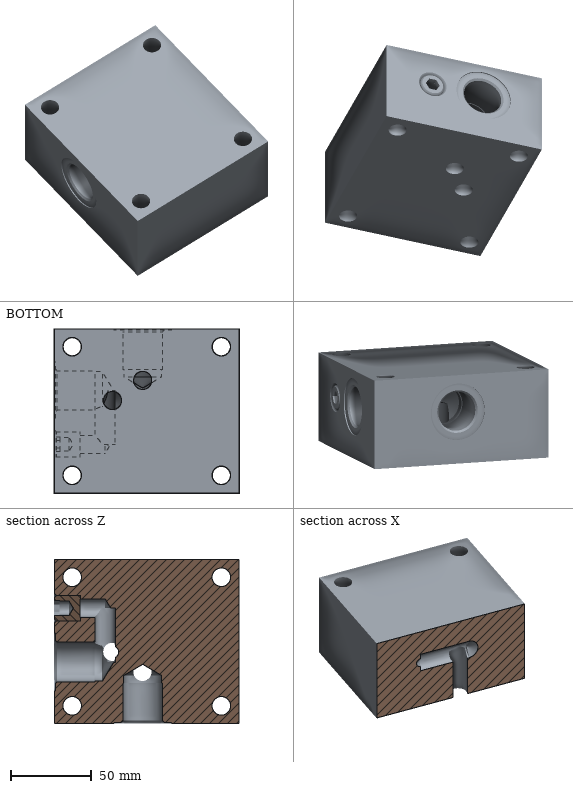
import cadquery as cq
import math

BLOCK_X = 114.3
BLOCK_Y = 101.6
BLOCK_Z = 55.5
LEFT_FACE = -BLOCK_X / 2
FRONT_FACE = -BLOCK_Y / 2
BOTTOM_FACE = -BLOCK_Z / 2

MOUNT_DIA = 11.2
MOUNT_EDGE_DISTANCE = 11.1

AXIS_Z = 4.8
FRONT_PORT_X = -2.5
LEFT_PORT_Y = -12.7
SPOTFACE_DIA = 35.4
SPOTFACE_DEPTH = 0.7
PORT_MOUTH_DIA = 26.6
PORT_THREAD_DIA = 24.3
PORT_THREAD_DEPTH = 25.1
PORT_DRILL_DIA = 23.2
PORT_DRILL_DEPTH = 29.7
DRILL_TIP_ANGLE = 118.0

RISER_DIA = 11.2
RISER_TOP_Z = AXIS_Z - 1.1
FRONT_RISER_Y = FRONT_FACE + PORT_DRILL_DEPTH + 2.2
LEFT_RISER_X = LEFT_FACE + PORT_DRILL_DEPTH + 6.3
LEFT_RISER_Y = LEFT_PORT_Y + 6.2

CROSS_DIA = 12.3
CROSS_OVERRUN = 0.1
CROSS_X = LEFT_FACE + PORT_DRILL_DEPTH + 1.7

PLUG_Y = 20.6
PLUG_DIA = 15.5
PLUG_PASSAGE_DIA = 11.2
PLUG_LENGTH = 16.0
PLUG_CHAMFER = 1.0
PLUG_MOUTH_DIA = 18.1
SOCKET_FLATS = 7.8
SOCKET_DEPTH = 3.4
SOCKET_DRILL_DIA = 8.5
SOCKET_DRILL_DEPTH = 5.7


def tip_height(diameter):
    """Height of the conical end that a drill of this diameter leaves."""
    return diameter / 2 / math.tan(math.radians(DRILL_TIP_ANGLE / 2))


def drilled_hole(diameter, depth):
    """Cutter along +Z from the origin: a cylinder with a drill point beyond its depth."""
    radius = diameter / 2
    return (
        cq.Workplane("XZ")
        .lineTo(radius, 0)
        .lineTo(radius, depth)
        .lineTo(0, depth + tip_height(diameter))
        .close()
        .revolve(360, (0, 0), (0, 1))
    )


def countersink(mouth_dia, bore_dia, mouth_depth):
    """45 degree cone along +Z that narrows from the mouth to the bore."""
    depth = (mouth_dia - bore_dia) / 2
    cone = cq.Solid.makeCone(mouth_dia / 2, bore_dia / 2, depth, cq.Vector(0, 0, mouth_depth))
    return cq.Workplane(cone)


def cylinder(diameter, length):
    return cq.Workplane("XY").circle(diameter / 2).extrude(length)


def port():
    """Cutter for one port, running along +Z from the face at the origin."""
    return (
        drilled_hole(PORT_DRILL_DIA, PORT_DRILL_DEPTH)
        .union(cylinder(PORT_THREAD_DIA, PORT_THREAD_DEPTH))
        .union(cylinder(SPOTFACE_DIA, SPOTFACE_DEPTH))
        .union(countersink(PORT_MOUTH_DIA, PORT_THREAD_DIA, SPOTFACE_DEPTH))
    )


def along_y(shape):
    """Turn a shape made along +Z to run along +Y."""
    return shape.rotate((0, 0, 0), (1, 0, 0), -90)


def from_front_face(shape, x):
    """Place a shape made along +Z so that it runs along +Y from the front face."""
    return along_y(shape).translate((x, FRONT_FACE, AXIS_Z))


def from_left_face(shape, y):
    """Place a shape made along +Z so that it runs along +X from the left face."""
    return along_y(shape).rotate((0, 0, 0), (0, 0, 1), -90).translate((LEFT_FACE, y, AXIS_Z))


def riser(x, y):
    hole = drilled_hole(RISER_DIA, RISER_TOP_Z - BOTTOM_FACE)
    return hole.translate((x, y, BOTTOM_FACE))


def cross_passage():
    """Passage from just past the left port axis to the plugged passage axis."""
    start_y = LEFT_PORT_Y - CROSS_OVERRUN
    passage = along_y(cylinder(CROSS_DIA, PLUG_Y - start_y))
    return passage.translate((CROSS_X, start_y, AXIS_Z))


def plugged_passage():
    """Countersunk plug hole with a narrower passage that reaches the cross passage."""
    hole = (
        drilled_hole(PLUG_PASSAGE_DIA, CROSS_X - LEFT_FACE)
        .union(cylinder(PLUG_DIA, PLUG_LENGTH))
        .union(countersink(PLUG_MOUTH_DIA, PLUG_DIA, 0))
    )
    return from_left_face(hole, PLUG_Y)


def make_block():
    block = (
        cq.Workplane("XY")
        .box(BLOCK_X, BLOCK_Y, BLOCK_Z)
        .faces(">Z")
        .workplane()
        .rect(BLOCK_X - 2 * MOUNT_EDGE_DISTANCE, BLOCK_Y - 2 * MOUNT_EDGE_DISTANCE, forConstruction=True)
        .vertices()
        .hole(MOUNT_DIA)
    )
    return (
        block.cut(from_front_face(port(), FRONT_PORT_X))
        .cut(from_left_face(port(), LEFT_PORT_Y))
        .cut(riser(FRONT_PORT_X, FRONT_RISER_Y))
        .cut(plugged_passage())
        .cut(cross_passage())
        .cut(riser(LEFT_RISER_X, LEFT_RISER_Y))
    )


def make_plug():
    """Plug with a chamfered outer end and a hexagon socket that opens into a drilled hole."""
    corner_dia = SOCKET_FLATS / math.cos(math.radians(30))
    hexagon = cq.Workplane("XY").polygon(6, corner_dia).extrude(SOCKET_DEPTH)
    socket_drill = drilled_hole(SOCKET_DRILL_DIA, SOCKET_DRILL_DEPTH).translate((0, 0, SOCKET_DEPTH))
    plug = cylinder(PLUG_DIA, PLUG_LENGTH).faces("<Z").chamfer(PLUG_CHAMFER)
    return from_left_face(plug.cut(hexagon).cut(socket_drill), PLUG_Y)


block = make_block()
plug = make_plug()
result = cq.Compound.makeCompound([block.solids().val(), plug.solids().val()])